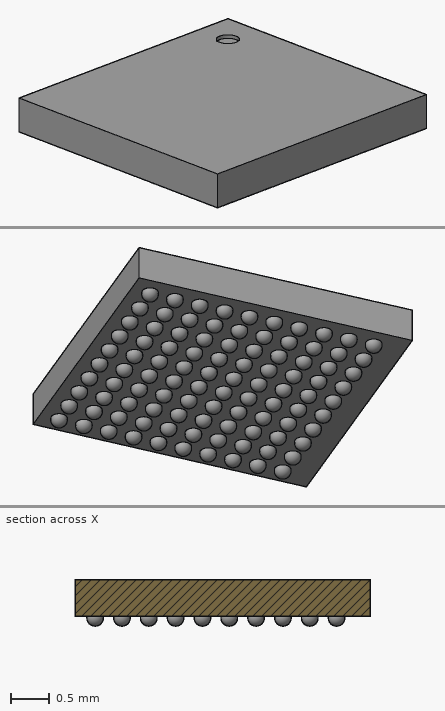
import cadquery as cq

body_length_x = 3.67
body_length_y = 3.85
overall_height = 0.61
body_height = 0.48

balls_per_row = 10
ball_pitch = 0.35
ball_diameter = 0.22
grid_offset_y = 0.09

marker_diameter = 0.3
marker_depth = 0.05
marker_edge_distance = 0.5

body_bottom_z = overall_height - body_height
ball_center_z = ball_diameter / 2


def make_body():
    """Rectangular package standing clear of Z = 0 by the ball height."""
    return (
        cq.Workplane("XY")
        .workplane(offset=body_bottom_z)
        .rect(body_length_x, body_length_y)
        .extrude(body_height)
    )


def make_marker():
    """Cylinder that cuts the pin 1 recess near the -X, +Y corner."""
    marker_x = -body_length_x / 2 + marker_edge_distance
    marker_y = body_length_y / 2 - marker_edge_distance
    return (
        cq.Workplane("XY")
        .workplane(offset=overall_height - marker_depth)
        .center(marker_x, marker_y)
        .circle(marker_diameter / 2)
        .extrude(marker_depth)
    )


def make_balls():
    """Full square grid of balls, each partly sunk into the package."""
    return (
        cq.Workplane("XY")
        .workplane(offset=ball_center_z)
        .center(0, grid_offset_y)
        .rarray(ball_pitch, ball_pitch, balls_per_row, balls_per_row)
        .sphere(ball_diameter / 2)
    )


result = make_body().cut(make_marker()).union(make_balls())